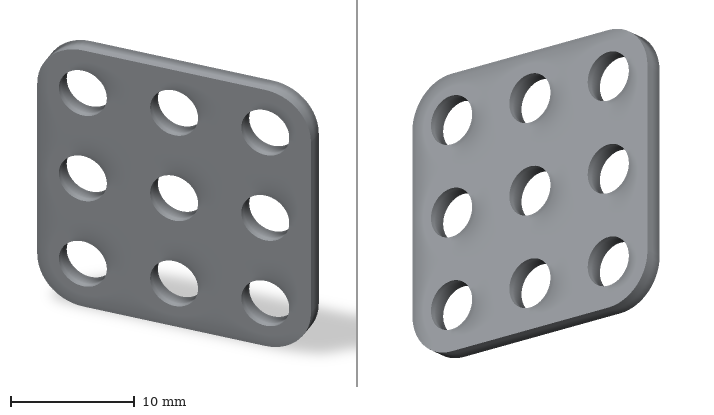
import cadquery as cq

plate_side = 24.0
plate_thickness = 1.6
holes_per_side = 3
hole_diameter = 4.2

hole_pitch = plate_side / holes_per_side
corner_radius = hole_pitch / 2


def make_plate():
    """Plate centred on the origin, with its four corners rounded."""
    plate = cq.Workplane("XY").box(plate_side, plate_thickness, plate_side)
    return plate.edges("|Y").fillet(corner_radius)


def drill_hole_grid(plate):
    """Drill the evenly spaced holes through the thickness."""
    return (
        plate.faces("<Y")
        .workplane(centerOption="CenterOfBoundBox")
        .rarray(hole_pitch, hole_pitch, holes_per_side, holes_per_side)
        .hole(hole_diameter)
    )


result = drill_hole_grid(make_plate())